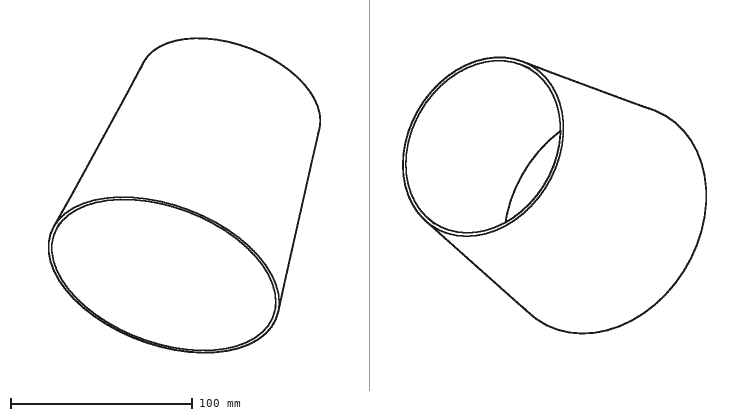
import cadquery as cq

wide_diameter = 133.0
narrow_diameter = 104.0
length = 127.0
wall = 2.0

wide_radius = wide_diameter / 2
narrow_radius = narrow_diameter / 2
front = -length / 2
back = length / 2

wall_section = (
    cq.Workplane("XY")
    .moveTo(wide_radius - wall, front)
    .lineTo(wide_radius, front)
    .lineTo(narrow_radius, back)
    .lineTo(narrow_radius - wall, back)
    .close()
)

result = wall_section.revolve(360, (0, 0, 0), (0, 1, 0))